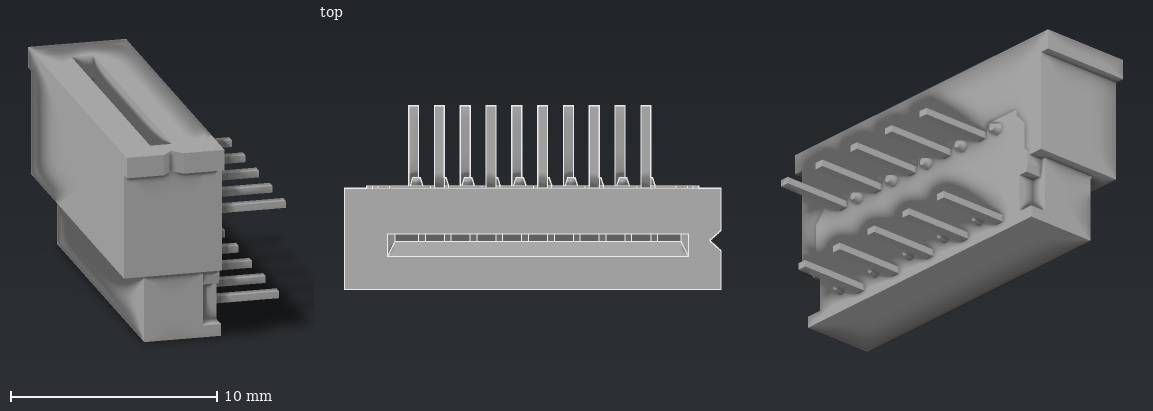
import cadquery as cq
import math

width = 18.25
height = 9.8
housing_depth = 4.91
total_depth = 8.9

flange_thickness = 1.04
flange_overhang = 0.51
key_depth = 0.55
key_half_width = 0.5
key_y = 2.37

housing_bottom = 3.5
base_half_width = 8.05
base_front = 1.17
base_chamfer_height = 0.2
base_chamfer_depth = 0.13

plate_front = 4.12
plate_back = 5.02
plate_height = 6.2
plate_half_top = 6.94
plate_half_middle = 7.5
plate_half_wide = 7.77
plate_half_ledge = 7.7
plate_half_waist = 7.19
foot_height = 0.6
waist_top = 2.57
wide_bottom = 3.01
wide_top = 3.65
middle_bottom = 3.92
middle_top = 5.31
shoulder_top = 5.91

pin_count = 10
pitch = 1.25
pin_offset = -0.15
pin_width = 0.5
pin_thickness = 0.35
upper_pin_z = 5.64
lower_pin_z = 0.65
upper_cone_z = 5.64
lower_cone_z = 1.19
cone_base_radius = 0.31
cone_tip_radius = 0.18
cone_length = 0.4
pin_notch_half_top = 0.44

slot_x = 0.25
slot_half_length = 7.28
slot_front = 1.6
slot_back = 2.7
slot_depth = 5.48
lead_in_depth = 1.02
lead_in_end = 0.35
lead_in_front = 0.71
contact_width = 0.33
contact_radius = 0.6


def box(x_min, x_max, y_min, y_max, z_min, z_max):
    size = (x_max - x_min, y_max - y_min, z_max - z_min)
    return cq.Workplane("XY").box(*size, centered=False).translate((x_min, y_min, z_min))


def row_x(index):
    """X of one station in a row centred on X = 0."""
    return (index - (pin_count - 1) / 2) * pitch


def is_upper_pin(index):
    return index % 2 == 1


def make_housing():
    flange_half = width / 2
    body_half = flange_half - flange_overhang
    flange_bottom = height - flange_thickness
    body = box(-body_half, body_half, 0, housing_depth, housing_bottom, flange_bottom)
    flange = box(-flange_half, flange_half, 0, housing_depth, flange_bottom, height)
    key = (
        cq.Workplane("XY", origin=(0, 0, flange_bottom))
        .moveTo(flange_half, key_y - key_half_width)
        .lineTo(flange_half - key_depth, key_y)
        .lineTo(flange_half, key_y + key_half_width)
        .close()
        .extrude(flange_thickness)
    )
    return body.union(flange.cut(key))


def make_base():
    profile = [
        (base_front, 0),
        (plate_front, 0),
        (plate_front, housing_bottom),
        (base_front - base_chamfer_depth, housing_bottom),
        (base_front, housing_bottom - base_chamfer_height),
    ]
    return (
        cq.Workplane("YZ", origin=(-base_half_width, 0, 0))
        .polyline(profile)
        .close()
        .extrude(2 * base_half_width)
    )


def make_plate():
    right_side = [
        (base_half_width, 0),
        (base_half_width, foot_height),
        (plate_half_waist, foot_height),
        (plate_half_waist, waist_top),
        (plate_half_ledge, waist_top),
        (plate_half_wide, wide_bottom),
        (plate_half_wide, wide_top),
        (plate_half_middle, middle_bottom),
        (plate_half_middle, middle_top),
        (plate_half_top, shoulder_top),
        (plate_half_top, plate_height),
    ]
    left_side = [(-x, z) for x, z in reversed(right_side)]
    return (
        cq.Workplane("XZ", origin=(0, plate_back, 0))
        .polyline(right_side + left_side)
        .close()
        .extrude(plate_back - plate_front)
    )


def make_pin_notch(x):
    """Tapered opening in the top edge of the rear plate around an upper pin."""
    half_bottom = pin_width / 2
    notch_bottom = upper_pin_z - pin_thickness / 2
    return (
        cq.Workplane("XZ", origin=(x, plate_back, 0))
        .moveTo(-half_bottom, notch_bottom)
        .lineTo(half_bottom, notch_bottom)
        .lineTo(pin_notch_half_top, plate_height)
        .lineTo(-pin_notch_half_top, plate_height)
        .close()
        .extrude(plate_back - housing_depth)
    )


def make_pin(x, z):
    half_width = pin_width / 2
    half_thickness = pin_thickness / 2
    return box(
        x - half_width, x + half_width, plate_front, total_depth, z - half_thickness, z + half_thickness
    )


def make_cone(x, z):
    cone = cq.Solid.makeCone(
        cone_base_radius, cone_tip_radius, cone_length, cq.Vector(x, plate_back, z), cq.Vector(0, 1, 0)
    )
    return cq.Workplane(cone)


def make_slot():
    inner_half = slot_half_length - lead_in_end
    inner_front = slot_front + lead_in_front
    slot = box(
        slot_x - inner_half, slot_x + inner_half, inner_front, slot_back, height - slot_depth, height
    )
    outer_width = slot_back - slot_front
    inner_width = slot_back - inner_front
    lead_in = (
        cq.Workplane("XY", origin=(slot_x, 0, height))
        .center(0, slot_back - outer_width / 2)
        .rect(2 * slot_half_length, outer_width)
        .workplane(offset=-lead_in_depth)
        .center(0, (outer_width - inner_width) / 2)
        .rect(2 * inner_half, inner_width)
        .loft(ruled=True)
    )
    return slot.union(lead_in)


def make_contact(x):
    """Concave contact on the slot floor, curving up towards the front wall."""
    slot_floor = height - slot_depth
    inner_front = slot_front + lead_in_front
    contact_depth = slot_back - inner_front
    front_rise = contact_radius - math.sqrt(contact_radius**2 - contact_depth**2)
    return (
        cq.Workplane("YZ", origin=(x - contact_width / 2, 0, slot_floor))
        .moveTo(inner_front, 0)
        .lineTo(slot_back, 0)
        .radiusArc((inner_front, front_rise), contact_radius)
        .close()
        .extrude(contact_width)
    )


result = make_housing().union(make_base()).union(make_plate()).cut(make_slot())

for station in range(pin_count):
    pin_x = row_x(station) + pin_offset
    cone_x = row_x(station)
    contact_x = row_x(station) + slot_x
    result = result.union(make_contact(contact_x))
    if is_upper_pin(station):
        result = result.cut(make_pin_notch(pin_x))
        result = result.union(make_pin(pin_x, upper_pin_z)).union(make_cone(cone_x, lower_cone_z))
    else:
        result = result.union(make_pin(pin_x, lower_pin_z)).union(make_cone(cone_x, upper_cone_z))